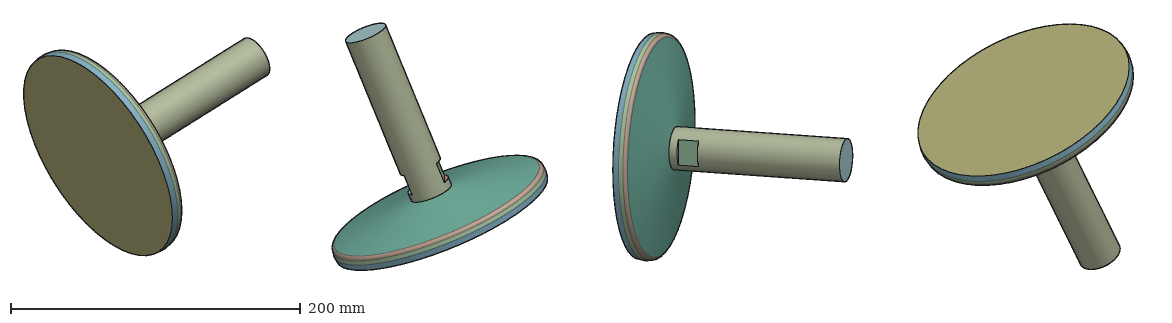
import cadquery as cq
import math

total_length = 144.0
rim_radius = 79.0
face_radius = 78.4
shoulder_radius = 78.5
shaft_radius = 15.0

rim_height = 4.5
shoulder_height = 7.5
cone_top_height = 20.4

edge_round_radius = 2.7
cone_angle = math.radians(9.6)

flat_start = 26.2
flat_length = 14.7
across_flats = 24.0

round_center_x = shoulder_radius - edge_round_radius


def point_on_edge_round(angle):
    """Point on the edge round, with the angle measured from the radial direction."""
    return (
        round_center_x + edge_round_radius * math.cos(angle),
        shoulder_height + edge_round_radius * math.sin(angle),
    )


def make_body():
    """Disc, cone and shaft revolved as one profile about the Y axis."""
    round_end_angle = math.pi / 2 - cone_angle
    return (
        cq.Workplane("XY")
        .lineTo(face_radius, 0)
        .lineTo(rim_radius, rim_height)
        .lineTo(shoulder_radius, shoulder_height)
        .threePointArc(
            point_on_edge_round(round_end_angle / 2),
            point_on_edge_round(round_end_angle),
        )
        .lineTo(shaft_radius, cone_top_height)
        .lineTo(shaft_radius, total_length)
        .lineTo(0, total_length)
        .close()
        .revolve(360, (0, 0, 0), (0, 1, 0))
    )


def make_flat_cutter(side):
    """Box that removes the shaft outside one flat; side is +1 or -1 along X."""
    cutter_depth = shaft_radius
    return cq.Workplane("XY").box(cutter_depth, flat_length, 2 * shaft_radius).translate(
        (side * (across_flats + cutter_depth) / 2, flat_start + flat_length / 2, 0)
    )


result = make_body()
for side in (-1, 1):
    result = result.cut(make_flat_cutter(side))